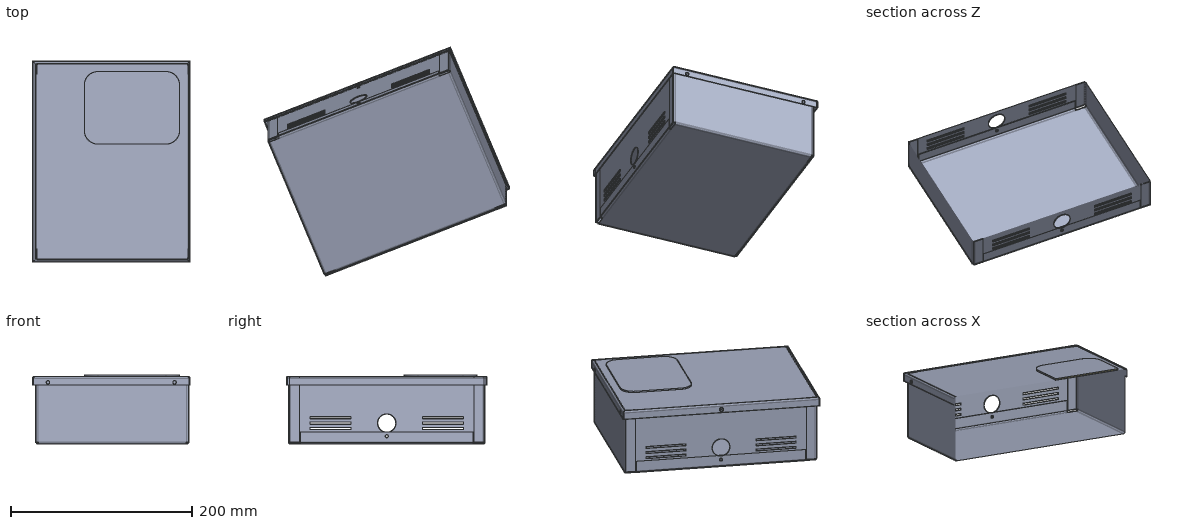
import cadquery as cq

SHEET = 0.8
BEND = 2.2
OVERLAP = 11

LID_X = 173.5
LID_Y = 221.5
LID_TOP = 75.0
LID_HEIGHT = 9.8
LID_SEAM = 0.2

LABEL_X = 105.0
LABEL_Y = 80.0
LABEL_THICKNESS = 1.5
LABEL_CORNER = 15.0
LABEL_RIGHT_EDGE = 75.3
LABEL_BACK_EDGE = 99.3

CASE_RIGHT = LID_X / 2 - SHEET
CASE_X = 169.5
CASE_CENTER_X = CASE_RIGHT - CASE_X / 2
CASE_TOP = LID_TOP - SHEET
TRAY_X = CASE_X - 2 * SHEET
TRAY_Y = 216.7
CORNER_FLANGE = 12.0
FLOOR_FLANGE = 13.7
FLANGE_GAP = 1.0

PANEL_INSET = 0.9
PANEL_Y = TRAY_Y - 2 * PANEL_INSET
PANEL_BOTTOM = 1.8

PORT_DIAMETER = 20
PORT_Z = 23.3
PIN_HOLE_DIAMETER = 3.0
PIN_HOLE_Z = 8.9
VENT_LENGTH = 44.8
VENT_WIDTH = 2.0
VENT_PITCH = 6.0
VENT_ROWS = 3
VENT_Y = 62

END_SCREW_Z = 68.3
END_SCREW_X = 69.8
SCREW_DIAMETER = 3.8
LATCH_Z = 68.7
LATCH_DIAMETER = 4.7
LATCH_PILOT = 3.0


def block(x, y, bottom, top, center_x=0):
    """Box centred on Y and on center_x, between two heights."""
    return (
        cq.Workplane("XY", origin=(center_x, 0, bottom))
        .rect(x, y)
        .extrude(top - bottom)
    )


def rods_along_x(points, diameter, length, center_x=0):
    """Round cutters along X at (y, z) points."""
    return (
        cq.Workplane("YZ", origin=(center_x - length / 2, 0, 0))
        .pushPoints(points)
        .circle(diameter / 2)
        .extrude(length)
    )


def make_lid():
    bottom = LID_TOP - LID_HEIGHT
    outside = block(LID_X, LID_Y, bottom, LID_TOP).faces(">Z").edges().fillet(BEND)
    inside = block(LID_X - 2 * SHEET, LID_Y - 2 * SHEET, bottom - OVERLAP, LID_TOP - SHEET)
    inside = inside.faces(">Z").edges().fillet(BEND - SHEET)
    end_holes = (
        cq.Workplane("XZ", origin=(0, LID_Y / 2, 0))
        .pushPoints([(-END_SCREW_X, END_SCREW_Z), (END_SCREW_X, END_SCREW_Z)])
        .circle(SCREW_DIAMETER / 2)
        .extrude(LID_Y)
    )
    latch_hole = rods_along_x([(0, LATCH_Z)], LATCH_DIAMETER, 2 * SHEET, -LID_X / 2)

    side_flanges_y = LID_Y - 2 * SHEET
    slits = block(LID_X, side_flanges_y, bottom, LID_TOP - BEND)
    slits = slits.cut(block(LID_X, side_flanges_y - 2 * LID_SEAM, bottom, LID_TOP - BEND))

    return outside.cut(inside).cut(slits).cut(end_holes).cut(latch_hole)


def make_label():
    return (
        cq.Workplane("XY", origin=(0, 0, LID_TOP))
        .center(LABEL_RIGHT_EDGE - LABEL_X / 2, LABEL_BACK_EDGE - LABEL_Y / 2)
        .rect(LABEL_X, LABEL_Y)
        .extrude(LABEL_THICKNESS)
        .edges("|Z")
        .fillet(LABEL_CORNER)
    )


def make_tray():
    hollow_x = TRAY_X - 2 * SHEET
    hollow_y = TRAY_Y - 2 * SHEET
    hollow_top = CASE_TOP + OVERLAP
    inner_bend = BEND - SHEET

    body = block(TRAY_X - 2 * BEND, TRAY_Y, 0, CASE_TOP, CASE_CENTER_X)
    body = body.edges("|X and <Z").fillet(BEND)
    hollow = block(TRAY_X, hollow_y, SHEET, hollow_top, CASE_CENTER_X)
    body = body.cut(hollow.edges("|X and <Z").fillet(inner_bend))

    corners = block(TRAY_X, TRAY_Y, BEND, CASE_TOP, CASE_CENTER_X).edges("|Z").fillet(BEND)
    hollow = block(hollow_x, hollow_y, 0, hollow_top, CASE_CENTER_X)
    corners = corners.cut(hollow.edges("|Z").fillet(inner_bend))
    between = block(TRAY_X, TRAY_Y - 2 * CORNER_FLANGE, 0, hollow_top, CASE_CENTER_X)
    corners = corners.cut(between)

    floor_y = TRAY_Y - 2 * (CORNER_FLANGE + FLANGE_GAP)
    floor = block(TRAY_X, floor_y, 0, FLOOR_FLANGE, CASE_CENTER_X)
    floor = floor.edges("|Y and <Z").fillet(BEND)
    hollow = block(hollow_x, floor_y, SHEET, hollow_top, CASE_CENTER_X)
    floor = floor.cut(hollow.edges("|Y and <Z").fillet(inner_bend))

    pin_holes = rods_along_x([(0, PIN_HOLE_Z)], PIN_HOLE_DIAMETER, LID_X, CASE_CENTER_X)
    return body.union(corners).union(floor).cut(pin_holes)


def vent_slots(center_x):
    """Two banks of slots for one side panel."""
    rows = [PORT_Z + (row - (VENT_ROWS - 1) / 2) * VENT_PITCH for row in range(VENT_ROWS)]
    return (
        cq.Workplane("YZ", origin=(center_x - SHEET, 0, 0))
        .pushPoints([(y, z) for y in (-VENT_Y, VENT_Y) for z in rows])
        .rect(VENT_LENGTH, VENT_WIDTH)
        .extrude(2 * SHEET)
    )


def make_side_panel(side):
    center_x = CASE_CENTER_X + side * (CASE_X - SHEET) / 2
    panel = block(SHEET, PANEL_Y, PANEL_BOTTOM, CASE_TOP, center_x)
    panel = panel.cut(vent_slots(center_x))
    panel = panel.cut(rods_along_x([(0, PORT_Z)], PORT_DIAMETER, 2 * SHEET, center_x))
    panel = panel.cut(rods_along_x([(0, PIN_HOLE_Z)], PIN_HOLE_DIAMETER, 2 * SHEET, center_x))
    if side < 0:
        panel = panel.cut(rods_along_x([(0, LATCH_Z)], LATCH_PILOT, 2 * SHEET, center_x))
    return panel


lid = make_lid()
label = make_label()
tray = make_tray()
side_panels = [make_side_panel(side) for side in (-1, 1)]

result = cq.Compound.makeCompound(
    [lid.val(), label.val(), tray.val(), *[panel.val() for panel in side_panels]]
)